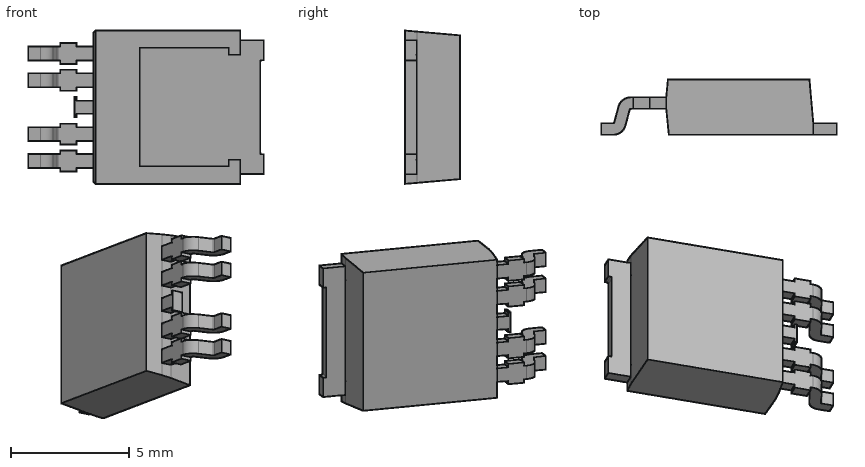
import cadquery as cq
import math


HOUSING_FOOT_X = 2.86
HOUSING_LEAD_FACE_X = 2.75
HOUSING_TOP_X = 2.82
HOUSING_TAB_FACE_X = 8.98
HOUSING_DEPTH = 2.35
HOUSING_HEIGHT = 6.5
DRAFT = 5

METAL_THICKNESS = 0.5
LEAD_BOTTOM_Y = 1.1
LEAD_TOP_Y = LEAD_BOTTOM_Y + METAL_THICKNESS
LEAD_PITCH = 1.14
LEAD_POSITIONS = (-2, -1, 1, 2)
LEAD_WIDTH = 0.6
SHOULDER_WIDTH = 0.9
SHOULDER_START_X = 1.36
SHOULDER_END_X = 2.06
FOOT_LENGTH = 0.51
BEND_INNER_RADIUS = 0.05
BEND_OUTER_RADIUS = BEND_INNER_RADIUS + METAL_THICKNESS
LEAD_SLOPE = 15

CUT_LEAD_START_X = 1.96
CUT_LEAD_WIDTH = 0.57
CUT_SHOULDER_WIDTH = 0.87

TAB_START_X = 4.72
TAB_NECK_X = 8.48
TAB_END_X = 9.98
TAB_PAD_WIDTH = 5.01
TAB_NECK_WIDTH = 4.45
TAB_OUTER_WIDTH = 5.67
NOTCH_WIDTH = 3.97
NOTCH_DEPTH = 0.15
NOTCH_RADIUS = 0.05


def centred_box(x_start, x_end, y_start, y_end, width):
    """Box between the given X and Y limits, centred on Z = 0."""
    return (
        cq.Workplane("XY")
        .box(x_end - x_start, y_end - y_start, width, centered=(False, False, True))
        .translate((x_start, y_start, 0))
    )


def make_tab():
    """Metal plate: exposed pad, neck between the housing corners, notched outer end."""
    pad = centred_box(TAB_START_X, TAB_NECK_X, 0, METAL_THICKNESS, TAB_PAD_WIDTH)
    neck = centred_box(TAB_NECK_X, HOUSING_TAB_FACE_X, 0, METAL_THICKNESS, TAB_NECK_WIDTH)
    outer = centred_box(HOUSING_TAB_FACE_X, TAB_END_X, 0, METAL_THICKNESS, TAB_OUTER_WIDTH)
    notch = (
        centred_box(TAB_END_X - NOTCH_DEPTH, TAB_END_X, 0, METAL_THICKNESS, NOTCH_WIDTH)
        .edges("|Y and <X")
        .fillet(NOTCH_RADIUS)
    )
    return pad.union(neck).union(outer).cut(notch)


def make_housing(tab):
    """Moulded block with drafted sides and a recess that fits the tab."""
    draft_slope = math.tan(math.radians(DRAFT))
    tab_side_top_x = HOUSING_TAB_FACE_X - (HOUSING_DEPTH - METAL_THICKNESS) * draft_slope
    side_profile = [
        (HOUSING_FOOT_X, 0),
        (HOUSING_TAB_FACE_X, 0),
        (HOUSING_TAB_FACE_X, METAL_THICKNESS),
        (tab_side_top_x, HOUSING_DEPTH),
        (HOUSING_TOP_X, HOUSING_DEPTH),
        (HOUSING_LEAD_FACE_X, LEAD_TOP_Y),
        (HOUSING_LEAD_FACE_X, LEAD_BOTTOM_Y),
    ]
    block = (
        cq.Workplane("XY").polyline(side_profile).close().extrude(HOUSING_HEIGHT / 2, both=True)
    )

    half_foot = HOUSING_HEIGHT / 2
    half_top = half_foot - HOUSING_DEPTH * draft_slope
    end_profile = [
        (0, -half_foot),
        (HOUSING_DEPTH, -half_top),
        (HOUSING_DEPTH, half_top),
        (0, half_foot),
    ]
    drafted_ends = cq.Workplane("YZ").polyline(end_profile).close().extrude(TAB_END_X)
    return block.intersect(drafted_ends).cut(tab)


def arc_point(centre, radius, angle):
    """Point on a circle at an angle in degrees, counted from +X towards +Y."""
    turn = math.radians(angle)
    return (centre[0] + radius * math.cos(turn), centre[1] + radius * math.sin(turn))


def make_lead():
    """Gull-wing lead: flat foot, two bends joined by a slope, shoulder and straight shank."""
    foot_centre = (FOOT_LENGTH, METAL_THICKNESS + BEND_INNER_RADIUS)
    shank_centre_y = LEAD_BOTTOM_Y - BEND_INNER_RADIUS
    slope = math.radians(LEAD_SLOPE)
    bend_spacing = (
        (BEND_INNER_RADIUS + BEND_OUTER_RADIUS) / math.cos(slope)
        + (shank_centre_y - foot_centre[1]) * math.tan(slope)
    )
    shank_centre = (FOOT_LENGTH + bend_spacing, shank_centre_y)

    foot_end_angle = -LEAD_SLOPE
    foot_mid_angle = (foot_end_angle - 90) / 2
    shank_end_angle = 180 - LEAD_SLOPE
    shank_mid_angle = (shank_end_angle + 90) / 2

    strip = (
        cq.Workplane("XY")
        .moveTo(0, 0)
        .lineTo(FOOT_LENGTH, 0)
        .threePointArc(
            arc_point(foot_centre, BEND_OUTER_RADIUS, foot_mid_angle),
            arc_point(foot_centre, BEND_OUTER_RADIUS, foot_end_angle),
        )
        .lineTo(*arc_point(shank_centre, BEND_INNER_RADIUS, shank_end_angle))
        .threePointArc(
            arc_point(shank_centre, BEND_INNER_RADIUS, shank_mid_angle),
            arc_point(shank_centre, BEND_INNER_RADIUS, 90),
        )
        .lineTo(HOUSING_LEAD_FACE_X, LEAD_BOTTOM_Y)
        .lineTo(HOUSING_LEAD_FACE_X, LEAD_TOP_Y)
        .lineTo(shank_centre[0], LEAD_TOP_Y)
        .threePointArc(
            arc_point(shank_centre, BEND_OUTER_RADIUS, shank_mid_angle),
            arc_point(shank_centre, BEND_OUTER_RADIUS, shank_end_angle),
        )
        .lineTo(*arc_point(foot_centre, BEND_INNER_RADIUS, foot_end_angle))
        .threePointArc(
            arc_point(foot_centre, BEND_INNER_RADIUS, foot_mid_angle),
            arc_point(foot_centre, BEND_INNER_RADIUS, -90),
        )
        .lineTo(0, METAL_THICKNESS)
        .close()
        .extrude(LEAD_WIDTH / 2, both=True)
    )
    shoulder = centred_box(
        SHOULDER_START_X, SHOULDER_END_X, LEAD_BOTTOM_Y, LEAD_TOP_Y, SHOULDER_WIDTH
    )
    return strip.union(shoulder)


def make_cut_lead():
    """Middle lead, cut off just past the start of its shoulder."""
    shank = centred_box(
        SHOULDER_END_X, HOUSING_LEAD_FACE_X, LEAD_BOTTOM_Y, LEAD_TOP_Y, CUT_LEAD_WIDTH
    )
    shoulder = centred_box(
        CUT_LEAD_START_X, SHOULDER_END_X, LEAD_BOTTOM_Y, LEAD_TOP_Y, CUT_SHOULDER_WIDTH
    )
    return shank.union(shoulder)


tab = make_tab()
housing = make_housing(tab)
cut_lead = make_cut_lead()
leads = [make_lead().translate((0, 0, position * LEAD_PITCH)) for position in LEAD_POSITIONS]

result = cq.Compound.makeCompound(
    [housing.val(), tab.val(), cut_lead.val(), *[lead.val() for lead in leads]]
)